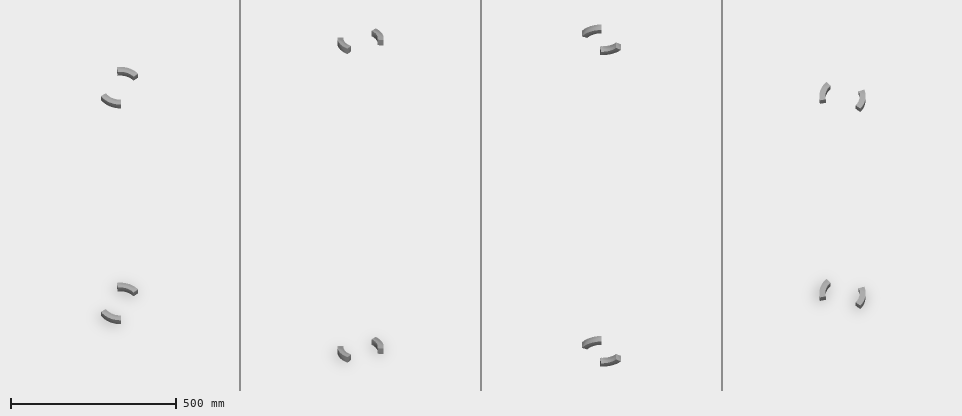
import cadquery as cq
import math

outer_diameter = 140.0
inner_diameter = 104.0
overall_height = 1140.0
clear_height = 1100.0
left_angle = 32.8
right_angle = 26.2

outer_radius = outer_diameter / 2
inner_radius = inner_diameter / 2
segment_height = (overall_height - clear_height) / 2
upper_base_z = overall_height - segment_height


def arc_point(radius, angle, side):
    """Point at a radius, with the angle from the Y axis towards +X, on the +Y or -Y side."""
    turn = math.radians(angle)
    return (radius * math.sin(turn), side * radius * math.cos(turn))


def make_ring_segment(base_z, side):
    """Ring segment with radial ends, on the +Y (side = 1) or -Y (side = -1) side."""
    return (
        cq.Workplane("XY")
        .workplane(offset=base_z)
        .moveTo(*arc_point(outer_radius, -left_angle, side))
        .threePointArc(arc_point(outer_radius, 0, side), arc_point(outer_radius, right_angle, side))
        .lineTo(*arc_point(inner_radius, right_angle, side))
        .threePointArc(arc_point(inner_radius, 0, side), arc_point(inner_radius, -left_angle, side))
        .close()
        .extrude(segment_height)
    )


ring_segments = []
for base_z in (0, upper_base_z):
    for side in (1, -1):
        ring_segments.append(make_ring_segment(base_z, side).val())

result = cq.Compound.makeCompound(ring_segments)